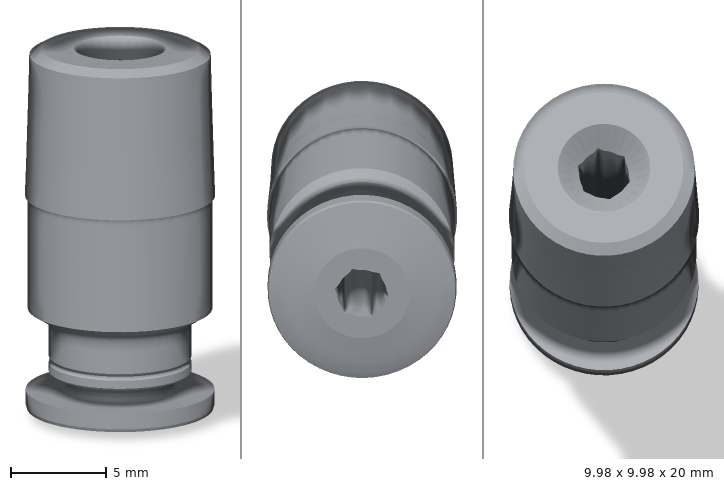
import cadquery as cq
import math

total_height = 20.0
flange_edge_bottom = 0.45
flange_edge_top = 0.65
flange_top = 1.48
collar_bottom = 2.38
groove_center = 3.12
body_top = 5.5
sleeve_bottom_chamfer = 0.38
head_bottom = 12.0

flange_base_radius = 2.5
flange_radius = 9.9 / 2
flange_edge_inset = 0.05
neck_radius = 5.4 / 2
neck_fillet = 0.32
body_radius = 7.5 / 2
collar_chamfer = 0.12
groove_depth = 0.15
groove_half_width = 0.18
sleeve_radius = 9.7 / 2
sleeve_bottom_radius = 4.22
head_bottom_radius = 4.99
head_shoulder_radius = 4.75
head_top_radius = 4.15
head_chamfer_height = 0.35

hex_across_flats = 2.5
relief_diameter = 2.6
countersink_radius = 2.42


def turned_body():
    """Revolve the half outline of the part about Z."""
    arc_offset = neck_fillet * (1 - math.sqrt(0.5))
    groove_bottom = groove_center - groove_half_width
    groove_top = groove_center + groove_half_width
    outline = (
        cq.Workplane("XZ")
        .moveTo(0, 0)
        .lineTo(flange_base_radius, 0)
        .lineTo(flange_radius - flange_edge_inset, flange_edge_bottom)
        .lineTo(flange_radius, flange_edge_top)
        .lineTo(flange_radius, flange_top)
        .lineTo(neck_radius + neck_fillet, flange_top)
        .threePointArc(
            (neck_radius + arc_offset, flange_top + arc_offset),
            (neck_radius, flange_top + neck_fillet),
        )
        .lineTo(neck_radius, collar_bottom)
        .lineTo(body_radius - collar_chamfer, collar_bottom)
        .lineTo(body_radius, collar_bottom + collar_chamfer)
        .lineTo(body_radius, groove_bottom)
        .lineTo(body_radius - groove_depth, groove_center)
        .lineTo(body_radius, groove_top)
        .lineTo(body_radius, body_top)
        .lineTo(sleeve_bottom_radius, body_top)
        .lineTo(sleeve_radius, body_top + sleeve_bottom_chamfer)
        .lineTo(sleeve_radius, head_bottom)
        .lineTo(head_bottom_radius, head_bottom)
        .lineTo(head_shoulder_radius, total_height - head_chamfer_height)
        .lineTo(head_top_radius, total_height)
        .lineTo(0, total_height)
        .close()
    )
    return outline.revolve(360, (0, 0, 0), (0, 1, 0))


def hex_bore():
    """Through bore: a hexagon with corners on Y, joined with its relief hole."""
    hex_corner_diameter = hex_across_flats / math.cos(math.radians(30))
    hexagon = (
        cq.Workplane("XY")
        .transformed(rotate=(0, 0, 90))
        .polygon(6, hex_corner_diameter)
        .extrude(total_height)
    )
    relief = cq.Workplane("XY").circle(relief_diameter / 2).extrude(total_height)
    return hexagon.union(relief)


def countersink():
    """45 degree cone at the top of the bore."""
    cone = cq.Solid.makeCone(
        0,
        countersink_radius,
        countersink_radius,
        pnt=cq.Vector(0, 0, total_height - countersink_radius),
    )
    return cq.Workplane("XY").add(cone)


result = turned_body().cut(hex_bore()).cut(countersink())